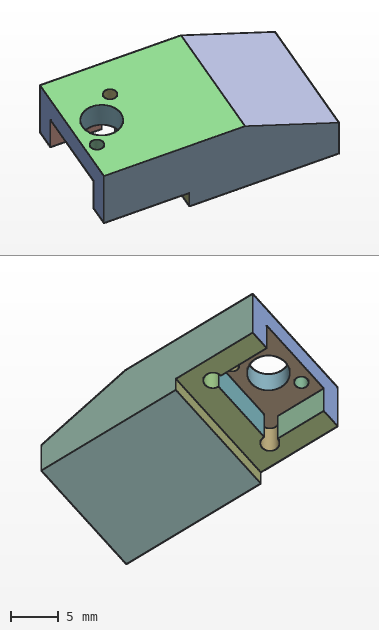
import cadquery as cq

width = 15.0
length = 27.5
height = 9.0

front_step_length = 10.0
front_step_height = 2.0
flat_top_length = 16.5
rear_height = 4.58

pocket_width = 10.05
pocket_depth = 7.0
pocket_top = 6.05
corner_relief_radius = 1.0

main_hole_diameter = 4.48
main_hole_y = 3.485
pin_hole_diameter = 1.5
pin_hole_centers = [(-3.02, 5.97), (3.02, 1.425)]


def make_body():
    """Side outline with the sloped rear top and the stepped underside."""
    return (
        cq.Workplane("YZ")
        .moveTo(0, front_step_height)
        .lineTo(front_step_length, front_step_height)
        .lineTo(front_step_length, 0)
        .lineTo(length, 0)
        .lineTo(length, rear_height)
        .lineTo(flat_top_length, height)
        .lineTo(0, height)
        .close()
        .extrude(width / 2, both=True)
    )


def make_pocket():
    """Slot with a round relief centred on each of its two rear corners."""
    floor = cq.Workplane("XY", origin=(0, 0, front_step_height))
    pocket_height = pocket_top - front_step_height
    slot = floor.rect(pocket_width, 2 * pocket_depth).extrude(pocket_height)
    rear_corners = [(side * pocket_width / 2, pocket_depth) for side in (-1, 1)]
    reliefs = floor.pushPoints(rear_corners).circle(corner_relief_radius).extrude(pocket_height)
    return slot.union(reliefs)


def make_hole(x, y, diameter):
    """Vertical cylinder reaching from the underside to the top."""
    return cq.Workplane("XY").center(x, y).circle(diameter / 2).extrude(height)


result = make_body().cut(make_pocket())
result = result.cut(make_hole(0, main_hole_y, main_hole_diameter))
for pin_x, pin_y in pin_hole_centers:
    result = result.cut(make_hole(pin_x, pin_y, pin_hole_diameter))